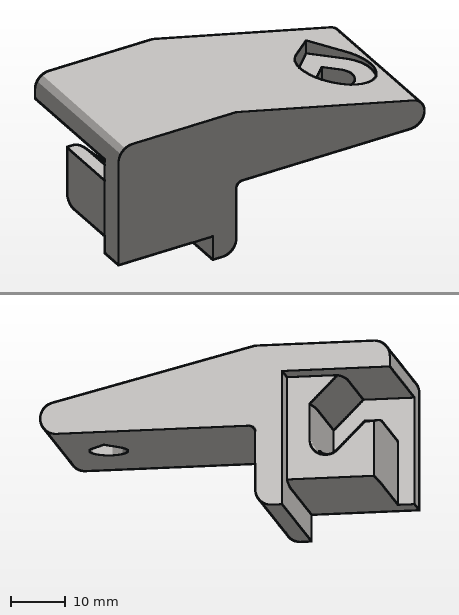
import cadquery as cq
import math

length = 65.0
width = 30.0
height = 30.0
wall = 5.0

round_radius = 3.0
inner_corner_radius = 1.25
pocket_depth = 20.0
web_back = pocket_depth + wall
tongue_bottom = 15.0
pocket_top = height - wall
half_turn_height = tongue_bottom + round_radius

lip_front = 3.05
lip_top = 16.9
lip_crest = 5.9
channel_back = 15.0
channel_roof = 19.5
channel_center_y = 12.8
hook_far_x = width - wall
edge_length = 3.9
edge_chamfer = 0.45
edge_chamfer_inset = 0.2
edge_radius = 10.0

hole_y = length - 10.0
hole_radius = 3.5
head_radius = 7.5
head_seat = 20.0


def make_body():
    """Tongue, top plate and web, as one side outline across the full width."""
    center_y = length - round_radius
    run = center_y - web_back
    drop = height - half_turn_height
    slope = math.atan2(drop, run) - math.asin(round_radius / math.hypot(run, drop))
    tangent = (
        center_y + round_radius * math.sin(slope),
        half_turn_height + round_radius * math.cos(slope),
    )
    body = (
        cq.Workplane("YZ")
        .moveTo(0, height)
        .lineTo(web_back, height)
        .lineTo(*tangent)
        .threePointArc((length, half_turn_height), (center_y, tongue_bottom))
        .lineTo(web_back, tongue_bottom)
        .lineTo(web_back, 0)
        .lineTo(pocket_depth, 0)
        .lineTo(pocket_depth, pocket_top)
        .lineTo(0, pocket_top)
        .close()
        .extrude(width)
    )

    def edge_at(y, z):
        return cq.selectors.NearestToPointSelector((width / 2, y, z))

    rounded_corners = [
        (0, height, round_radius),
        (web_back, 0, round_radius),
        (web_back, height, round_radius),
        (web_back, tongue_bottom, inner_corner_radius),
    ]
    for y, z, radius in rounded_corners:
        body = body.edges("|X").edges(edge_at(y, z)).fillet(radius)
    return body


def make_end_wall():
    """Wall closing the +X end of the pocket."""
    return cq.Workplane("XY").box(
        wall, pocket_depth, pocket_top - wall, centered=False
    ).translate((hook_far_x, 0, wall))


def hook_wire(x, inset):
    """J-shaped hook outline in the plane at x, shrunk evenly by inset."""
    diagonal = inset * math.sqrt(2)
    miter = inset * math.tan(math.pi / 8)
    radius = channel_back - channel_center_y + inset
    center_z = lip_crest + lip_top - channel_center_y + (radius - inset) * math.sqrt(2)
    reach = radius * math.sqrt(0.5)
    roof_front = channel_back + channel_roof - pocket_top + diagonal
    return (
        cq.Workplane("YZ", origin=(x, 0, 0))
        .moveTo(lip_front + inset, wall + inset)
        .lineTo(lip_front + inset, lip_top - inset)
        .lineTo(lip_crest - miter, lip_top - inset)
        .lineTo(channel_center_y - reach, center_z - reach)
        .threePointArc(
            (
                channel_center_y + radius * math.sin(math.pi / 8),
                center_z - radius * math.cos(math.pi / 8),
            ),
            (channel_center_y + radius, center_z),
        )
        .lineTo(channel_back + inset, channel_roof + miter)
        .lineTo(roof_front, pocket_top)
        .lineTo(pocket_depth, pocket_top)
        .lineTo(pocket_depth, wall + inset)
        .close()
        .val()
    )


def make_hook():
    """Hook between the open side and the end wall, eased along its -X edge."""
    arc_length = edge_length - edge_chamfer

    def arc_wire(to_arc_end):
        inset = edge_radius - math.sqrt(edge_radius**2 - to_arc_end**2)
        return hook_wire(wall + edge_length - to_arc_end, inset), inset

    arc_start, arc_inset = arc_wire(arc_length)
    arc_middle, _ = arc_wire(arc_length / 2)
    arc_end, _ = arc_wire(0)
    end_face = hook_wire(wall, arc_inset + edge_chamfer_inset)
    far_face = hook_wire(hook_far_x, 0)
    chamfered_edge = cq.Solid.makeLoft([end_face, arc_start], True)
    rounded_edge = cq.Solid.makeLoft([arc_start, arc_middle, arc_end], False)
    straight_hook = cq.Solid.makeLoft([arc_end, far_face], True)
    return cq.Workplane(straight_hook).union(rounded_edge).union(chamfered_edge)


def teardrop(radius, bottom):
    """Vertical teardrop cutter pointing toward -X, reaching above the part."""
    reach = radius * math.sqrt(0.5)
    return (
        cq.Workplane("XY", origin=(width / 2, hole_y, bottom))
        .moveTo(-radius * math.sqrt(2), 0)
        .lineTo(-reach, -reach)
        .threePointArc((radius, 0), (-reach, reach))
        .close()
        .extrude(height - bottom)
    )


result = (
    make_body()
    .union(make_hook())
    .union(make_end_wall())
    .cut(teardrop(hole_radius, 0))
    .cut(teardrop(head_radius, head_seat))
)